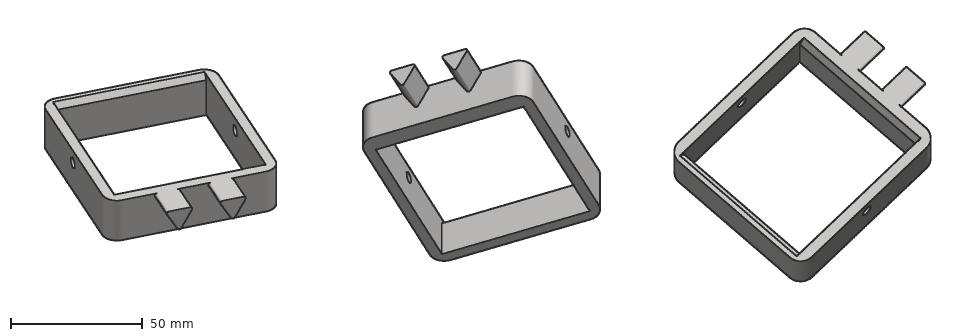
import cadquery as cq
import math

total_length = 88.5
tab_length = 13.45
frame_length = total_length - tab_length
frame_width = 70.0
frame_height = 18.2
corner_radius = 6.0

side_wall = 4.4
left_wall = 4.4
right_wall = 6.9
opening_chamfer = 2.3
opening_length = frame_length - left_wall - right_wall
opening_width = frame_width - 2 * side_wall
opening_center_x = left_wall + opening_length / 2

hole_diameter = 4.3
hole_depth_below_top = 5.6

tab_spacing = 21.7
tab_flat = 8.5
tab_radius = 0.9


def make_frame():
    """Upright block with rounded corners; its -X face is at X = 0 and its bottom at Z = 0."""
    return (
        cq.Workplane("XY")
        .box(frame_length, frame_width, frame_height, centered=(False, True, False))
        .edges("|Z")
        .fillet(corner_radius)
    )


def make_opening():
    """Rectangular through cut whose two X walls flare outward at 45 degrees at the top."""
    half_length = opening_length / 2
    half_mouth = half_length + opening_chamfer
    profile = [
        (opening_center_x - half_length, 0),
        (opening_center_x + half_length, 0),
        (opening_center_x + half_length, frame_height - opening_chamfer),
        (opening_center_x + half_mouth, frame_height),
        (opening_center_x - half_mouth, frame_height),
        (opening_center_x - half_length, frame_height - opening_chamfer),
    ]
    return cq.Workplane("XZ").polyline(profile).close().extrude(opening_width / 2, both=True)


def make_cross_hole():
    """Round hole along Y through both side walls."""
    return (
        cq.Workplane("XZ")
        .center(opening_center_x, frame_height - hole_depth_below_top)
        .circle(hole_diameter / 2)
        .extrude(frame_width, both=True)
    )


def make_tab(center_y):
    """Rounded triangular bar on the +X wall, flush with the top of the frame."""
    half_side = tab_flat / 2 + tab_radius * math.sqrt(3)
    triangle_height = half_side * math.sqrt(3)
    profile = [
        (center_y - half_side, frame_height),
        (center_y + half_side, frame_height),
        (center_y, frame_height - triangle_height),
    ]
    return (
        cq.Workplane("YZ", origin=(frame_length, 0, 0))
        .polyline(profile)
        .close()
        .extrude(tab_length)
        .edges("|X")
        .fillet(tab_radius)
    )


result = make_frame().cut(make_opening()).cut(make_cross_hole())
for side in (-1, 1):
    result = result.union(make_tab(side * tab_spacing / 2))